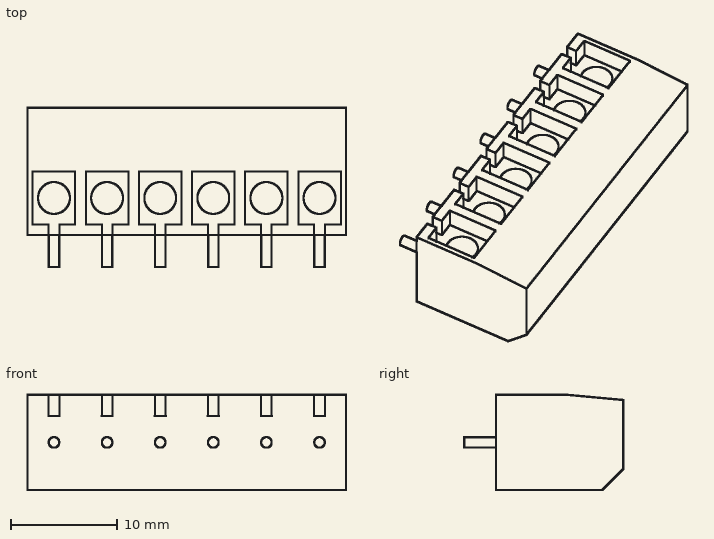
import cadquery as cq

POLE_COUNT = 6
POLE_PITCH = 5.0

HOUSING_LENGTH = POLE_COUNT * POLE_PITCH
HOUSING_DEPTH = 12.0
HOUSING_HEIGHT = 9.0
FLAT_TOP_DEPTH = 6.6
BACK_TOP_DROP = 0.5
BOTTOM_CHAMFER = 2.0

RECESS_WIDTH = 4.0
RECESS_LENGTH = 5.0
RECESS_DEPTH = 2.0
FRONT_WALL = 1.0
RECESS_CENTER_Y = FRONT_WALL + RECESS_LENGTH / 2
RECESS_FLOOR_Z = HOUSING_HEIGHT - RECESS_DEPTH
SLOT_WIDTH = 1.0

SCREW_HOLE_DIAMETER = 3.0
SCREW_HOLE_DEPTH = 3.0

PIN_DIAMETER = 1.0
PIN_LENGTH = 3.0
PIN_CENTER_Z = HOUSING_HEIGHT / 2


def make_housing():
    """Extrude the side profile along X, with its front face on Y = 0 and its base on Z = 0."""
    profile = [
        (0, 0),
        (HOUSING_DEPTH - BOTTOM_CHAMFER, 0),
        (HOUSING_DEPTH, BOTTOM_CHAMFER),
        (HOUSING_DEPTH, HOUSING_HEIGHT - BACK_TOP_DROP),
        (FLAT_TOP_DEPTH, HOUSING_HEIGHT),
        (0, HOUSING_HEIGHT),
    ]
    return cq.Workplane("YZ").polyline(profile).close().extrude(HOUSING_LENGTH)


def make_pole_cavity(center_x):
    """Recess, the slot through the wall in front of it, and the screw hole in its floor."""
    floor = cq.Workplane("XY", origin=(center_x, 0, RECESS_FLOOR_Z))
    recess = floor.center(0, RECESS_CENTER_Y).rect(RECESS_WIDTH, RECESS_LENGTH).extrude(RECESS_DEPTH)
    slot = floor.center(0, RECESS_CENTER_Y / 2).rect(SLOT_WIDTH, RECESS_CENTER_Y).extrude(RECESS_DEPTH)
    screw_hole = floor.center(0, RECESS_CENTER_Y).circle(SCREW_HOLE_DIAMETER / 2).extrude(-SCREW_HOLE_DEPTH)
    return recess.union(slot).union(screw_hole)


def make_pin(center_x):
    """Pin standing out from the front face towards -Y."""
    front_face = cq.Workplane("XZ", origin=(center_x, 0, PIN_CENTER_Z))
    return front_face.circle(PIN_DIAMETER / 2).extrude(PIN_LENGTH)


result = make_housing()
for pole in range(POLE_COUNT):
    pole_x = (pole + 0.5) * POLE_PITCH
    result = result.cut(make_pole_cavity(pole_x)).union(make_pin(pole_x))